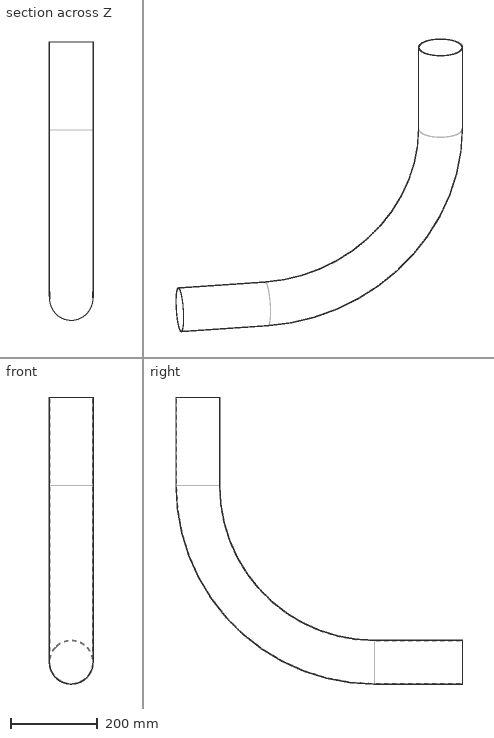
import cadquery as cq
import math

OUTER_DIAMETER = 101.6
INNER_DIAMETER = 98.4
BEND_RADIUS = 4 * OUTER_DIAMETER
LEG_LENGTH = 2 * OUTER_DIAMETER
BEND_ANGLE = 90

END_DISTANCE = BEND_RADIUS + LEG_LENGTH


def centreline():
    """Path in the YZ plane: down the vertical leg, round the bend, out along +Y."""
    bend_middle_offset = BEND_RADIUS * (1 - math.cos(math.radians(BEND_ANGLE / 2)))
    return (
        cq.Workplane("YZ")
        .moveTo(0, END_DISTANCE)
        .lineTo(0, BEND_RADIUS)
        .threePointArc((bend_middle_offset, bend_middle_offset), (BEND_RADIUS, 0))
        .lineTo(END_DISTANCE, 0)
    )


def swept_rod(diameter):
    """Solid round rod that follows the centreline from the upper open end."""
    upper_end = cq.Workplane("XY").workplane(offset=END_DISTANCE)
    return upper_end.circle(diameter / 2).sweep(centreline())


result = swept_rod(OUTER_DIAMETER).cut(swept_rod(INNER_DIAMETER))